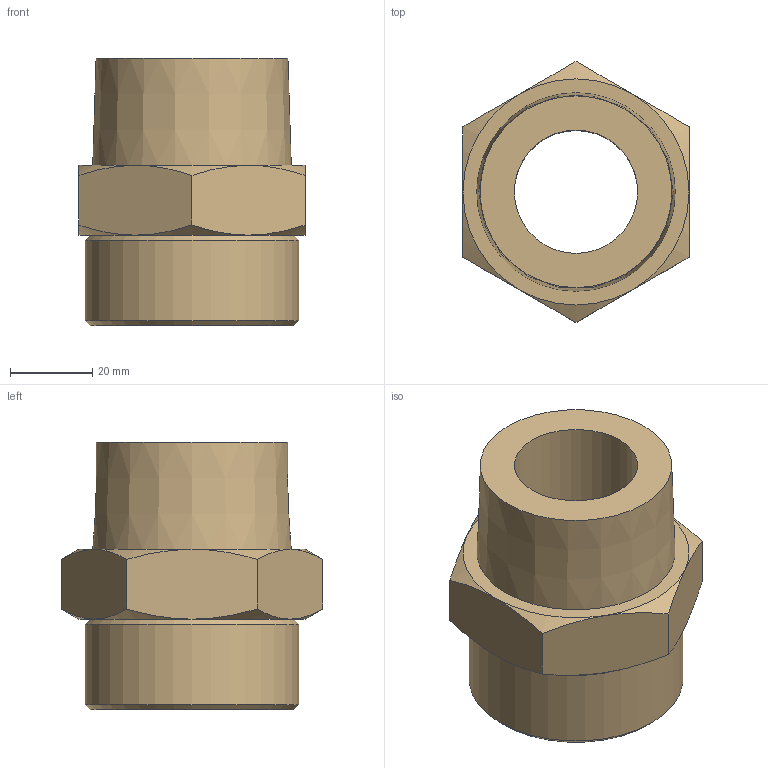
import cadquery as cq
import math

across_flats = 55.0
hex_height = 17.0
hex_turn = 30.0
hex_chamfer_angle = 30.0
envelope_margin = 1.0

spigot_diameter = 52.0
spigot_length = 22.0
spigot_chamfer = 1.227

taper_length = 26.0
taper_ratio = 1 / 16
taper_top_diameter = 46.65
taper_base_diameter = taper_top_diameter + taper_length * taper_ratio

bore_diameter = 30.0

collar_bottom = spigot_length
collar_top = collar_bottom + hex_height
total_height = collar_top + taper_length


def revolve_profile(points):
    """Turn a closed (radius, height) outline about the Z axis."""
    return cq.Workplane("XZ").polyline(points).close().revolve(360, (0, 0, 0), (0, 1, 0))


def make_collar():
    """Hexagon whose corners are turned down by a cone at both ends."""
    across_corners = across_flats / math.cos(math.radians(hex_turn))
    hexagon = (
        cq.Workplane("XY", origin=(0, 0, collar_bottom))
        .polygon(6, across_corners)
        .extrude(hex_height)
        .rotate((0, 0, 0), (0, 0, 1), hex_turn)
    )
    face_radius = across_flats / 2
    corner_radius = across_corners / 2
    envelope_radius = corner_radius + envelope_margin
    cone_drop = (envelope_radius - face_radius) * math.tan(math.radians(hex_chamfer_angle))
    envelope = revolve_profile([
        (0, collar_bottom),
        (face_radius, collar_bottom),
        (envelope_radius, collar_bottom + cone_drop),
        (envelope_radius, collar_top - cone_drop),
        (face_radius, collar_top),
        (0, collar_top),
    ])
    return hexagon.intersect(envelope)


def make_straight_spigot():
    """Lower cylinder, chamfered at its free end and where it meets the collar."""
    cylinder = cq.Workplane("XY").circle(spigot_diameter / 2).extrude(spigot_length)
    return cylinder.edges("%CIRCLE").chamfer(spigot_chamfer)


def make_tapered_spigot():
    """Upper cone frustum, narrowing toward its free end."""
    return revolve_profile([
        (0, collar_top),
        (taper_base_diameter / 2, collar_top),
        (taper_top_diameter / 2, total_height),
        (0, total_height),
    ])


def make_bore():
    """Plain hole through the full height."""
    return cq.Workplane("XY").circle(bore_diameter / 2).extrude(total_height)


result = make_collar().union(make_straight_spigot()).union(make_tapered_spigot()).cut(make_bore())